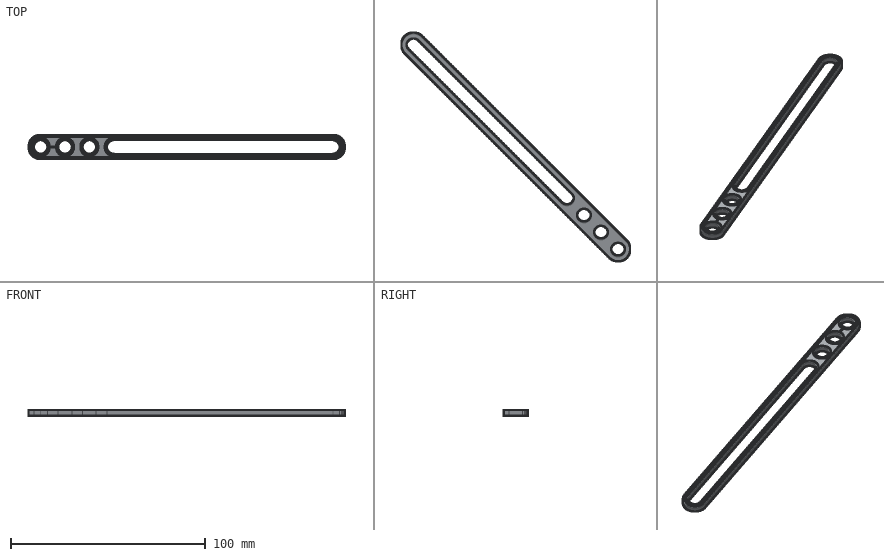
import cadquery as cq

length = 162.5
pitch_count = 13
pitch = length / pitch_count
width = pitch
thickness = 3.1

hole_diameter = 7.0
collar_diameter = 9.3
rim_width = 1.1
recess_depth = 0.2
rib_width = 0.3
edge_radius = 0.3

hole_count = 3
first_hole_x = (width - length) / 2
hole_places = [(first_hole_x + i * pitch, 0) for i in range(hole_count)]
slot_start_x = first_hole_x + hole_count * pitch
slot_end_x = -first_hole_x
slot_middle_x = (slot_start_x + slot_end_x) / 2
slot_run = slot_end_x - slot_start_x

recess_floor = thickness - recess_depth


def rounded_bar(bar_length, bar_width, bottom, height):
    """Bar with full-radius ends, centred on the origin in X and Y."""
    return cq.Workplane("XY").workplane(offset=bottom).slot2D(bar_length, bar_width).extrude(height)


def opening_shapes(diameter, bottom, height):
    """Solids that follow the round holes and the long slot at the given diameter."""
    rounds = cq.Workplane("XY").workplane(offset=bottom).pushPoints(hole_places)
    rounds = rounds.circle(diameter / 2).extrude(height)
    slot = rounded_bar(slot_run + diameter, diameter, bottom, height).translate((slot_middle_x, 0, 0))
    return rounds.union(slot)


def first_rib():
    """Thin rib that joins the collars of the first two holes."""
    middle_x = first_hole_x + pitch / 2
    rib = cq.Workplane("XY").workplane(offset=recess_floor).center(middle_x, 0)
    return rib.rect(pitch - hole_diameter, rib_width).extrude(recess_depth)


recess = rounded_bar(length - 2 * rim_width, width - 2 * rim_width, recess_floor, recess_depth)
recess = recess.cut(opening_shapes(collar_diameter, recess_floor, recess_depth)).cut(first_rib())

result = rounded_bar(length, width, 0, thickness)
result = result.cut(opening_shapes(hole_diameter, 0, thickness))
result = result.faces("|Z").edges().fillet(edge_radius)
result = result.cut(recess)